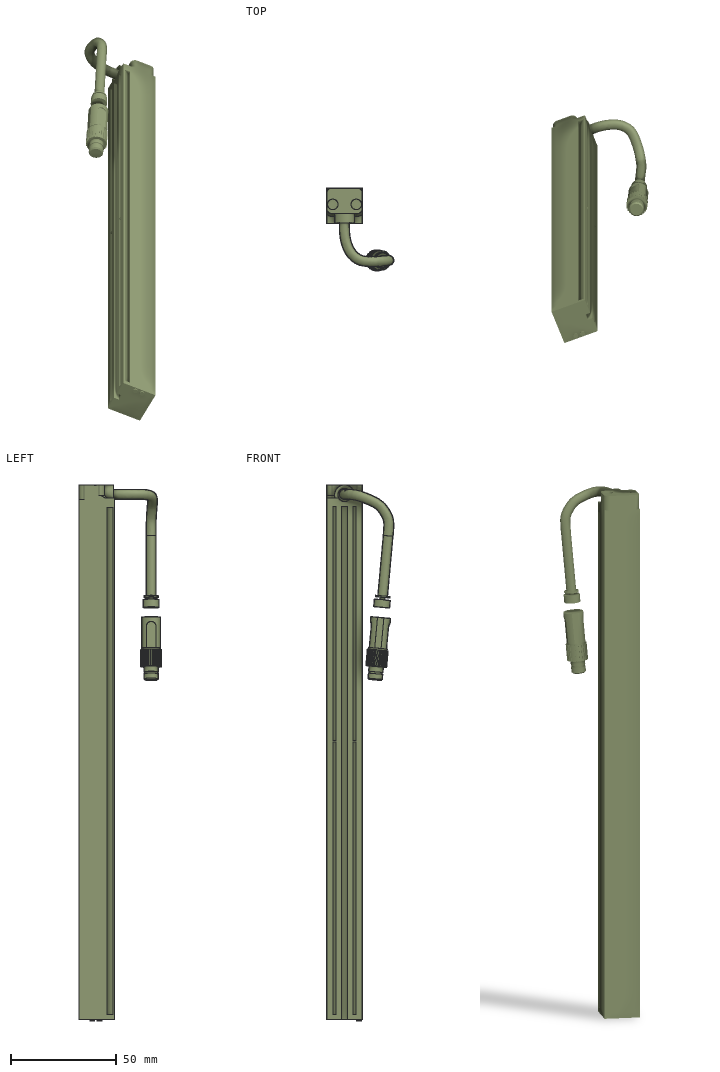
import cadquery as cq
import math

width = 17.0
depth = 17.0
height = 254.5
mid_x = width / 2

cap_depth = 6.3
cap_setback = 4.8
cap_corner_radius = 2.5
cap_foot_bevel = 1.3
bevel_edge = 0.001
back_corner_height = 7.0

screw_diameter = 5.0
screw_seat_depth = 0.4
screw_edge_distance = 2.9
screw_y = 9.2

gland_diameter = 9.5
gland_front_y = 0.4
gland_top_gap = 0.05
gland_recess_diameter = 6.25
gland_recess_depth = 1.0
gland_z = height - gland_diameter / 2 - gland_top_gap

centre_slot_width = 2.9
centre_slot_depth = 2.5
slot_top_z = height - 10.2
side_slot_width = 1.3
side_slot_depth = 1.5
side_slot_x = 3.75
side_slot_bottom_z = 2.3
side_slot_web_z = 132.1
side_slot_web_height = 0.7

groove_back_y = 3.5
groove_front_y = 0.8
groove_depth = 1.8
groove_bottom_z = 2.3
groove_top_z = height - 10.8

pin_diameter = 2.22
pin_length = 0.67
pin_x = 15.4
pin_centre_y = 8.9
pin_spacing = 3.5

cable_z = 250.0
bend_diameter = 4.8
cable_diameter = 4.7
plug_tilt = math.radians(5.2)
plug_y = -17.42
plug_start = cq.Vector(26.65, plug_y, 201.65)
plug_direction = cq.Vector(-math.sin(plug_tilt), 0, -math.cos(plug_tilt))
plug_plane = cq.Plane(
    origin=plug_start,
    xDir=(math.cos(plug_tilt), 0, -math.sin(plug_tilt)),
    normal=plug_direction,
)
cable_straight_length = 28.7
bend_points = [
    (8.5, -4.0, cable_z),
    (9.5, -9.5, cable_z),
    (12.0, -14.4, 249.9),
    (15.6, -17.2, 249.2),
    (20.8, -18.0, 247.2),
    (25.5, -17.9, 244.4),
    (28.3, -17.6, 240.5),
]

flange_diameter = 6.9
flange_end = 0.7
neck_diameter = 2.5
neck_end = 1.8
collar_diameter = 7.7
collar_end = 5.5
grip_start = 10.3
grip_diameter = 9.5
grip_end = 25.0
nut_groove_diameter = 9.0
nut_start = 25.8
nut_diameter = 10.0
nut_end = 33.8
thread_diameter = 6.9
thread_end = 36.3
tip_groove_diameter = 6.3
tip_start = 37.2
tip_end = 40.2
tip_chamfer = 0.6

pocket_width = 4.6
pocket_start = 12.6
pocket_floor_radius = 4.15
flat_floor_radius = 4.5
knurl_count = 24
knurl_size = 0.6


def box(x_min, x_max, y_min, y_max, z_min, z_max):
    size = (x_max - x_min, y_max - y_min, z_max - z_min)
    return cq.Workplane("XY").box(*size, centered=False).translate((x_min, y_min, z_min))


def make_bar():
    """Square bar whose rounded top end is set back from the front and stands on a bevelled foot."""
    floor_z = height - cap_depth
    cap_length = depth - cap_setback
    front_half = box(0, width, 0, depth / 2, 0, height)
    back_z = height - back_corner_height
    base = box(0, width, 0, depth, 0, back_z).union(box(0, width, 0, depth / 2, back_z, floor_z))
    cap = box(0, width, cap_setback, depth, back_z, height).edges("|Z").fillet(cap_corner_radius)
    foot = (
        cq.Workplane("XY", origin=(mid_x, cap_setback + cap_length / 2, floor_z))
        .rect(width + 2 * cap_foot_bevel, cap_length + 2 * cap_foot_bevel)
        .extrude(cap_foot_bevel)
        .edges("|Z")
        .fillet(cap_corner_radius + cap_foot_bevel)
        .faces(">Z")
        .chamfer(cap_foot_bevel - bevel_edge)
    )
    return base.union(cap).union(foot.intersect(front_half))


def cut_screw_seats(bar):
    centres = [(x, screw_y) for x in (screw_edge_distance, width - screw_edge_distance)]
    seats = cq.Workplane("XY", origin=(0, 0, height)).pushPoints(centres)
    return bar.cut(seats.circle(screw_diameter / 2).extrude(-screw_seat_depth))


def y_cylinder(diameter, y_min, y_max):
    """Cylinder along Y on the axis of the cable gland."""
    face = cq.Plane(origin=(mid_x, y_min, gland_z), xDir=(1, 0, 0), normal=(0, 1, 0))
    return cq.Workplane(face).circle(diameter / 2).extrude(y_max - y_min)


def add_gland(bar):
    """Round gland standing forward of the set-back face, recessed around the cable."""
    barrel = y_cylinder(gland_diameter, gland_front_y, cap_setback)
    recess = y_cylinder(gland_recess_diameter, 0, gland_front_y + gland_recess_depth)
    return bar.union(barrel).cut(recess)


def cut_front_slots(bar):
    half = centre_slot_width / 2
    bar = bar.cut(box(mid_x - half, mid_x + half, 0, centre_slot_depth, 0, slot_top_z))
    half = side_slot_width / 2
    web_top_z = side_slot_web_z + side_slot_web_height
    for x in (side_slot_x, width - side_slot_x):
        for z_min, z_max in ((side_slot_bottom_z, side_slot_web_z), (web_top_z, slot_top_z)):
            bar = bar.cut(box(x - half, x + half, 0, side_slot_depth, z_min, z_max))
    return bar


def cut_side_grooves(bar):
    """Wedge grooves, square at the back and shallowing towards the front face."""
    groove = (
        cq.Workplane("XY", origin=(0, 0, groove_bottom_z))
        .moveTo(0, groove_back_y)
        .lineTo(groove_depth, groove_back_y)
        .lineTo(0, groove_front_y)
        .close()
        .extrude(groove_top_z - groove_bottom_z)
    )
    return bar.cut(groove).cut(groove.mirror("YZ", (mid_x, 0, 0)))


def add_pins(bar):
    centres = [(pin_x, pin_centre_y + side * pin_spacing / 2) for side in (-1, 1)]
    pins = cq.Workplane("XY").pushPoints(centres).circle(pin_diameter / 2).extrude(-pin_length)
    return bar.union(pins)


def make_cable():
    """Cable that leaves the gland, bends down and then runs straight along the plug axis."""
    gland_end = cq.Vector(mid_x, cap_setback, cable_z)
    straight_start = plug_start - plug_direction * cable_straight_length
    points = [gland_end] + [cq.Vector(*point) for point in bend_points] + [straight_start]
    path = cq.Edge.makeSpline(points, tangents=[cq.Vector(0, -1, 0), plug_direction])
    section = cq.Workplane(cq.Plane(origin=gland_end, xDir=(1, 0, 0), normal=(0, -1, 0)))
    bend = section.circle(bend_diameter / 2).sweep(cq.Workplane(path))
    return bend.union(plug_cylinder(cable_diameter, -cable_straight_length, 0))


def plug_cylinder(diameter, start, end):
    return cq.Workplane(plug_plane).workplane(offset=start).circle(diameter / 2).extrude(end - start)


def make_cable_end():
    """Thin flange and collar joined by a slim neck."""
    flange = plug_cylinder(flange_diameter, 0, flange_end)
    neck = plug_cylinder(neck_diameter, 0, neck_end)
    collar = plug_cylinder(collar_diameter, neck_end, collar_end)
    return flange.union(neck).union(collar)


def make_housing():
    housing = make_bar()
    housing = cut_screw_seats(housing)
    housing = add_gland(housing)
    housing = cut_front_slots(housing)
    housing = cut_side_grooves(housing)
    housing = add_pins(housing)
    return housing.union(make_cable()).union(make_cable_end())


def make_grip():
    """Round grip with flats front and back and round-topped pockets on its sides."""
    grip = plug_cylinder(grip_diameter, grip_start, grip_end)
    radius = grip_diameter / 2
    for side in (-1, 1):
        flat = (
            cq.Workplane(plug_plane)
            .workplane(offset=grip_start)
            .center(0, side * (flat_floor_radius + radius / 2))
            .rect(grip_diameter, radius)
            .extrude(grip_end - grip_start)
        )
        pocket_plane = cq.Plane(
            origin=plug_plane.toWorldCoords((side * pocket_floor_radius, 0, 0)),
            xDir=plug_direction,
            normal=plug_plane.xDir * side,
        )
        arc_start = pocket_start + pocket_width / 2
        pocket = (
            cq.Workplane(pocket_plane)
            .moveTo(grip_end, pocket_width / 2)
            .lineTo(arc_start, pocket_width / 2)
            .threePointArc((pocket_start, 0), (arc_start, -pocket_width / 2))
            .lineTo(grip_end, -pocket_width / 2)
            .close()
            .extrude(radius)
        )
        grip = grip.cut(flat).cut(pocket)
    return grip


def make_nut():
    """Knurled coupling nut."""
    knurls = (
        cq.Workplane(plug_plane)
        .workplane(offset=nut_start)
        .polarArray(nut_diameter / 2, 0, 360, knurl_count)
        .rect(knurl_size, knurl_size)
        .extrude(nut_end - nut_start)
    )
    return plug_cylinder(nut_diameter, nut_start, nut_end).cut(knurls)


def make_plug():
    tip = plug_cylinder(thread_diameter, tip_start, tip_end)
    tip = tip.faces(cq.selectors.DirectionMinMaxSelector(plug_direction)).chamfer(tip_chamfer)
    plug = make_grip().union(plug_cylinder(nut_groove_diameter, grip_end, nut_start))
    plug = plug.union(make_nut())
    plug = plug.union(plug_cylinder(thread_diameter, nut_end, thread_end))
    return plug.union(plug_cylinder(tip_groove_diameter, thread_end, tip_start)).union(tip)


housing = make_housing()
plug = make_plug()
result = cq.Compound.makeCompound([housing.solids().val(), plug.solids().val()])